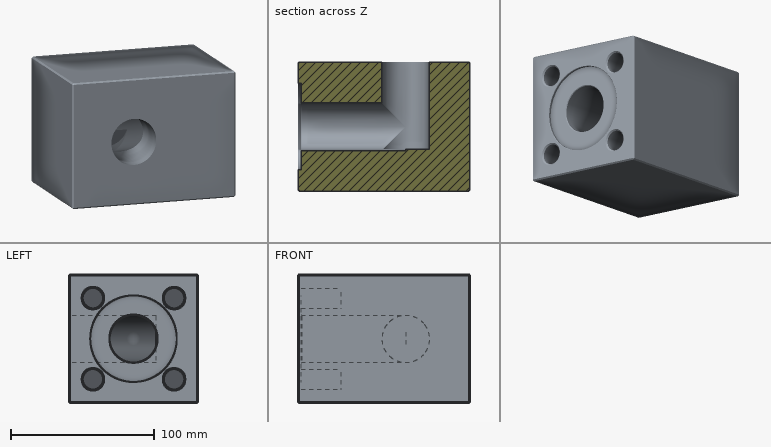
import cadquery as cq
import math

block_length = 120.0
block_side = 90.0
edge_chamfer = 1.0

bore_diameter = 33.0
bore_chamfer = 0.5
cross_bore_end_y = -15.6

seat_diameter = 60.09
seat_depth = 2.0
seat_chamfer = 0.3

bolt_circle_diameter = 80.0
bolt_hole_diameter = 14.0
bolt_hole_chamfer = 1.0
bolt_hole_depth = 30.0

port_face_x = -block_length / 2
seat_floor_x = port_face_x + seat_depth
cross_bore_x = block_length / 2 - block_side / 2


def make_block():
    block = cq.Workplane("XY").box(block_length, block_side, block_side)
    return block.edges().chamfer(edge_chamfer)


def chamfered_hole(diameter, chamfer, start_x, end_x, y=0.0, z=0.0):
    """Cutter along X from start_x to end_x, with a 45 degree conical mouth at start_x."""
    radius = diameter / 2
    profile = [
        (start_x, 0),
        (start_x, radius + chamfer),
        (start_x + chamfer, radius),
        (end_x, radius),
        (end_x, 0),
    ]
    cutter = cq.Workplane("XY").polyline(profile).close().revolve(360, (0, 0), (1, 0))
    return cutter.translate((0, y, z))


def make_seat():
    return chamfered_hole(seat_diameter, seat_chamfer, port_face_x, seat_floor_x)


def make_inlet_bore():
    return chamfered_hole(bore_diameter, bore_chamfer, seat_floor_x, cross_bore_x)


def make_cross_bore():
    length = block_side / 2 - cross_bore_end_y
    plane = cq.Plane(origin=(cross_bore_x, cross_bore_end_y, 0), xDir=(1, 0, 0), normal=(0, 1, 0))
    return cq.Workplane(plane).circle(bore_diameter / 2).extrude(length)


def cut_bolt_holes(body):
    offset = bolt_circle_diameter / 2 / math.sqrt(2)
    hole_end_x = port_face_x + bolt_hole_depth
    for y in (-offset, offset):
        for z in (-offset, offset):
            hole = chamfered_hole(bolt_hole_diameter, bolt_hole_chamfer, port_face_x, hole_end_x, y, z)
            body = body.cut(hole)
    return body


body = make_block()
body = body.cut(make_seat())
body = body.cut(make_inlet_bore())
body = body.cut(make_cross_bore())
result = cut_bolt_holes(body)